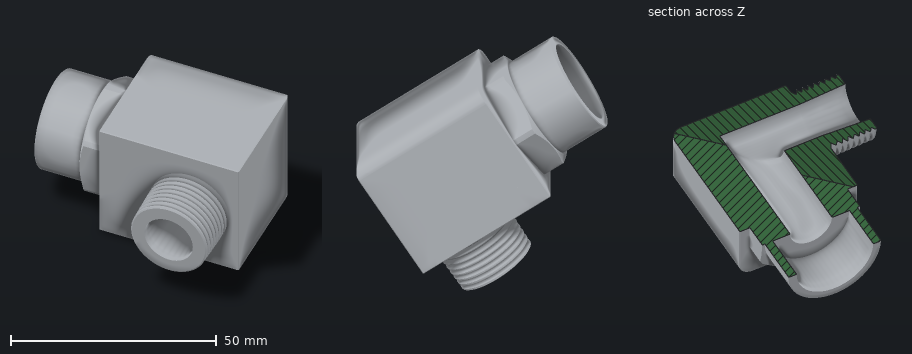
import cadquery as cq
import math


BLOCK_SIDE = 32.5
BLOCK_LENGTH = 37.1
BLOCK_LEFT = -24.2
HALF_SIDE = BLOCK_SIDE / 2
BACK_FILLET = 3.7
EDGE_CHAMFER = 0.2

NUT_LENGTH = 6.4
NUT_ACROSS_FLATS = 27.0
NUT_CORNER_RADIUS = 15.2
NUT_FACE_RADIUS = 13.4
NUT_CHAMFER_LENGTH = 1.0
NUT_LEFT = BLOCK_LEFT - NUT_LENGTH

TUBE_LENGTH = 12.35
TUBE_RADIUS = 12.8
TUBE_CHAMFER = 0.2
SOCKET_RADIUS = 10.55
SOCKET_DEPTH = TUBE_LENGTH
TUBE_LEFT = NUT_LEFT - TUBE_LENGTH

THREAD_LENGTH = 12.95
THREAD_PITCH = 1.55
THREAD_COUNT = 8
CREST_RADIUS = 10.45
ROOT_RADIUS = 9.1
TIP_RADIUS = 10.05
THREAD_START = -HALF_SIDE
THREAD_END = THREAD_START - THREAD_LENGTH

BORE_RADIUS = 5.75
MOUTH_RADIUS = 6.4

STEP_LEFT = -8.95
STEP_RIGHT = -3.25
JOINT_REACH = 2 * BLOCK_LENGTH


def revolve_about_x(points):
    """Solid of revolution about the X axis from (x, radius) points."""
    return cq.Workplane("XY").polyline(points).close().revolve(360, (0, 0, 0), (1, 0, 0))


def revolve_about_y(points):
    """Solid of revolution about the Y axis from (radius, y) points."""
    return cq.Workplane("XY").polyline(points).close().revolve(360, (0, 0, 0), (0, 1, 0))


def make_plain_block():
    block = cq.Workplane("XY").box(BLOCK_LENGTH, BLOCK_SIDE, BLOCK_SIDE)
    return block.translate((BLOCK_LEFT + BLOCK_LENGTH / 2, 0, 0))


def make_block():
    """Block with rounded back edges, a rounded rear right corner and fine chamfers elsewhere."""
    block = make_plain_block().edges("|X and >Y").fillet(BACK_FILLET)
    block = block.faces("<X or <Y or >X").edges().chamfer(EDGE_CHAMFER)
    corner_rounding = make_plain_block().edges("|Z and >Y and >X").fillet(BACK_FILLET)
    return block.intersect(corner_rounding)


def make_nut():
    hexagon_diameter = NUT_ACROSS_FLATS / math.cos(math.pi / 6)
    hexagon = (
        cq.Workplane("YZ", origin=(NUT_LEFT, 0, 0))
        .transformed(rotate=(0, 0, 90))
        .polygon(6, hexagon_diameter)
        .extrude(NUT_LENGTH)
    )
    turned_envelope = revolve_about_x([
        (NUT_LEFT, 0),
        (NUT_LEFT, NUT_FACE_RADIUS),
        (NUT_LEFT + NUT_CHAMFER_LENGTH, NUT_CORNER_RADIUS),
        (BLOCK_LEFT, NUT_CORNER_RADIUS),
        (BLOCK_LEFT, 0),
    ])
    return hexagon.intersect(turned_envelope)


def make_tube():
    tube = cq.Workplane("YZ", origin=(TUBE_LEFT, 0, 0)).circle(TUBE_RADIUS).extrude(TUBE_LENGTH)
    return tube.faces("<X").edges().chamfer(TUBE_CHAMFER)


def make_socket():
    return cq.Workplane("YZ", origin=(TUBE_LEFT, 0, 0)).circle(SOCKET_RADIUS).extrude(SOCKET_DEPTH)


def make_spigot():
    spigot_profile = [(0, THREAD_START), (CREST_RADIUS, THREAD_START)]
    for ring in range(THREAD_COUNT):
        ring_start = THREAD_START - ring * THREAD_PITCH
        spigot_profile.append((ROOT_RADIUS, ring_start - THREAD_PITCH / 2))
        spigot_profile.append((CREST_RADIUS, ring_start - THREAD_PITCH))
    last_crest = THREAD_START - THREAD_COUNT * THREAD_PITCH
    flank_slope = (CREST_RADIUS - ROOT_RADIUS) / (THREAD_PITCH / 2)
    end_radius = CREST_RADIUS - flank_slope * (last_crest - THREAD_END)
    spigot_profile += [(end_radius, THREAD_END), (0, THREAD_END)]
    tapered_envelope = revolve_about_y([
        (0, THREAD_START),
        (CREST_RADIUS, THREAD_START),
        (TIP_RADIUS, THREAD_END),
        (0, THREAD_END),
    ])
    return revolve_about_y(spigot_profile).intersect(tapered_envelope)


def make_passage():
    """Mitred elbow bore from the socket to the thread, with a flared outlet."""
    bore_path = cq.Workplane("XY").polyline([(TUBE_LEFT, 0), (0, 0), (0, THREAD_END)])
    bore = (
        cq.Workplane("YZ", origin=(TUBE_LEFT, 0, 0))
        .circle(BORE_RADIUS)
        .sweep(bore_path, transition="right")
    )
    flare = revolve_about_y([
        (0, THREAD_START),
        (BORE_RADIUS, THREAD_START),
        (MOUTH_RADIUS, THREAD_END),
        (0, THREAD_END),
    ])
    return bore.union(flare)


def make_inlet_side():
    """Everything on the nut side of the stepped joint, as a prism along Z."""
    return (
        cq.Workplane("XY", origin=(0, 0, -BLOCK_SIDE))
        .polyline([
            (STEP_LEFT - JOINT_REACH, -JOINT_REACH),
            (STEP_LEFT, 0),
            (STEP_RIGHT, 0),
            (STEP_RIGHT + JOINT_REACH, JOINT_REACH),
            (STEP_LEFT - JOINT_REACH, JOINT_REACH),
        ])
        .close()
        .extrude(2 * BLOCK_SIDE)
    )


block = make_block()
passage = make_passage()
inlet_side = make_inlet_side()


def make_inlet_body():
    """Nut-side half of the block with the nut and the socket tube."""
    body = block.intersect(inlet_side).union(make_nut()).union(make_tube())
    return body.cut(make_socket()).cut(passage)


def make_outlet_body():
    """Thread-side half of the block with the threaded spigot."""
    return block.cut(inlet_side).union(make_spigot()).cut(passage)


inlet_body = make_inlet_body()
outlet_body = make_outlet_body()

result = cq.Compound.makeCompound([inlet_body.solids().val(), outlet_body.solids().val()])